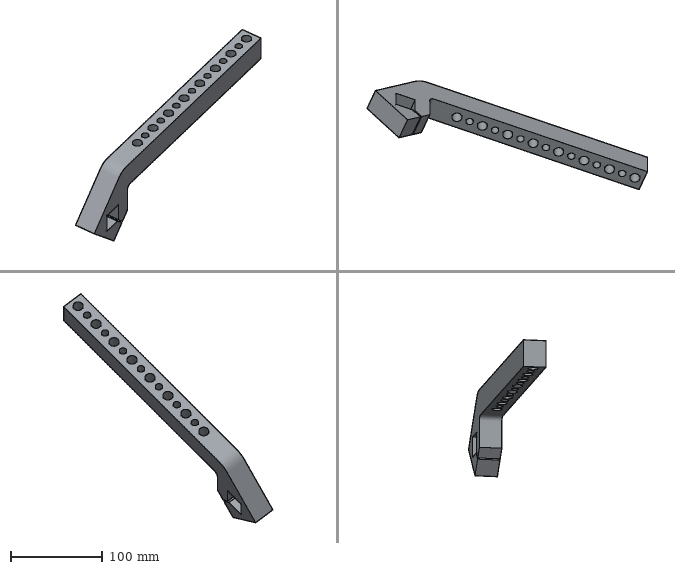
import cadquery as cq

length = 321.0
width = 25.0
total_height = 91.2
bar_height = 30.0

nose_drop = 53.3
heel_y = total_height - nose_drop
leg_y = 64.2
leg_bottom_z = -total_height + (leg_y - heel_y)
bend_radius = 20.0
leg_fillet = 5.0

window_size = 22.5
window_center_y = 35.5
window_center_z = -56.0
slit_width = 1.5
slit_length = 25.7

large_diameter = 11.0
small_diameter = 8.0
hole_count = 15
hole_span = 210.0
end_margin = 10.0
hole_pitch = hole_span / (hole_count - 1)


def make_body():
    """Side outline in the YZ plane, extruded across the width, with rounded bends."""
    outline = [
        (length, 0),
        (nose_drop, 0),
        (0, -nose_drop),
        (heel_y, -total_height),
        (leg_y, leg_bottom_z),
        (leg_y, -bar_height),
        (length, -bar_height),
    ]
    body = cq.Workplane("YZ").polyline(outline).close().extrude(width / 2, both=True)
    body = body.edges(cq.selectors.NearestToPointSelector((0, nose_drop, 0))).fillet(bend_radius)
    return body.edges(cq.selectors.NearestToPointSelector((0, leg_y, -bar_height))).fillet(leg_fillet)


def make_window():
    """Square opening through the full width of the head."""
    return cq.Workplane("XY").box(width, window_size, window_size).translate(
        (0, window_center_y, window_center_z)
    )


def make_slit():
    """Thin 45 degree cut whose upper face passes through the window's lower corner."""
    corner_y = window_center_y + window_size / 2
    corner_z = window_center_z - window_size / 2
    slit = cq.Workplane("XY").box(width, slit_length, slit_width).translate((0, 0, -slit_width / 2))
    slit = slit.rotate((0, 0, 0), (1, 0, 0), -45)
    return slit.translate((0, corner_y, corner_z))


def make_holes(first_index, diameter):
    """Every second hole of the row, drilled through the bar height."""
    centers = [
        (0, length - end_margin - index * hole_pitch)
        for index in range(first_index, hole_count, 2)
    ]
    return cq.Workplane("XY").pushPoints(centers).circle(diameter / 2).extrude(-bar_height)


result = make_body().cut(make_window()).cut(make_slit())
result = result.cut(make_holes(0, large_diameter)).cut(make_holes(1, small_diameter))